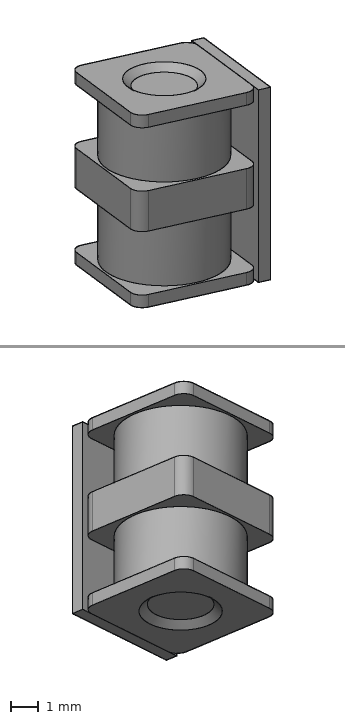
import cadquery as cq

total_height = 7.6
flange_side = 5.0
flange_thickness = 0.5
corner_radius = 0.49
middle_thickness = 1.595
barrel_diameter = 4.8
plate_thickness = 0.5
dimple_mouth_diameter = 3.0
dimple_floor_diameter = 2.4
dimple_depth = 0.27

half_height = total_height / 2
plate_front = flange_side / 2


def rounded_block(thickness, bottom):
    """Square slab with rounded vertical corners, resting at height bottom."""
    return (
        cq.Workplane("XY", origin=(0, 0, bottom))
        .rect(flange_side, flange_side)
        .extrude(thickness)
        .edges("|Z")
        .fillet(corner_radius)
    )


def make_dimple():
    """Tapered cutter that sinks into the top flange."""
    return (
        cq.Workplane("XY", origin=(0, 0, half_height))
        .circle(dimple_mouth_diameter / 2)
        .workplane(offset=-dimple_depth)
        .circle(dimple_floor_diameter / 2)
        .loft(ruled=True)
    )


def make_tube():
    """Round barrel with a square flange at each end and a thicker block at mid height."""
    barrel = cq.Workplane("XY").cylinder(total_height - 2 * flange_thickness, barrel_diameter / 2)
    tube = (
        barrel
        .union(rounded_block(flange_thickness, -half_height))
        .union(rounded_block(middle_thickness, -middle_thickness / 2))
        .union(rounded_block(flange_thickness, half_height - flange_thickness))
    )
    top_dimple = make_dimple()
    return tube.cut(top_dimple).cut(top_dimple.mirror("XY"))


def make_plate():
    """Flat square-cornered plate standing against the +Y faces of the flanges."""
    return cq.Workplane("XY").box(flange_side, plate_thickness, total_height).translate(
        (0, plate_front + plate_thickness / 2, 0)
    )


tube = make_tube()
plate = make_plate()

result = cq.Compound.makeCompound([tube.solids().val(), plate.val()])